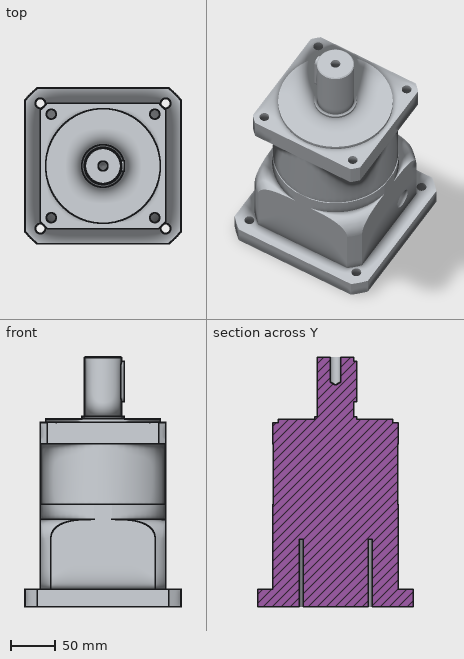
import cadquery as cq
import math

TOTAL_HEIGHT = 282.0
BASE_TOP = 20.0
SHOULDER_TOP = 98.7
RING_TOP = 115.5
FLANGE_BOTTOM = 184.0
FLANGE_TOP = 208.0
PILOT_TOP = 212.0
COLLAR_TOP = 215.0

BASE_SIDE = 176.0
BASE_CORNER_DIAMETER = 230.0
HOUSING_SIDE = 141.8
HOUSING_CORNER_DIAMETER = 184.1
FLANGE_CORNER_DIAMETER = 189.5

RING_DIAMETER = 143.3
BODY_DIAMETER = 141.3
PILOT_DIAMETER = 129.5
COLLAR_DIAMETER = 48.0
SHAFT_DIAMETER = 42.0
SHAFT_CHAMFER = 1.0

KEY_WIDTH = 12.0
KEY_LENGTH = 46.0
KEY_BOTTOM = 231.2
KEY_REACH = 24.0

BOLT_HOLE_DIAMETER = 11.0
BASE_BOLT_SPACING = 141.3
FLANGE_BOLT_SPACING = 116.7
CENTER_HOLE_DIAMETER = 11.0
CENTER_HOLE_DEPTH = 28.2
DRILL_POINT_ANGLE = 118.0
HUB_DIAMETER = 74.0
CAVITY_DIAMETER = 81.8
CAVITY_DEPTH = 76.0
ACCESS_HOLE_DIAMETER = 22.0
ACCESS_HOLE_Y = -29.0
ACCESS_HOLE_Z = 45.5


def disc(diameter, bottom, top):
    """Upright cylinder on the Z axis between two heights."""
    return cq.Workplane("XY").workplane(offset=bottom).circle(diameter / 2).extrude(top - bottom)


def rounded_square(side, corner_diameter, bottom, top):
    """Square block whose corners are turned down to a cylinder on the Z axis."""
    block = cq.Workplane("XY").workplane(offset=bottom).rect(side, side).extrude(top - bottom)
    return block.intersect(disc(corner_diameter, bottom, top))


def bolt_holes(spacing, bottom, top):
    """Four upright holes at the corners of a square."""
    return (
        cq.Workplane("XY")
        .workplane(offset=bottom)
        .rect(spacing, spacing, forConstruction=True)
        .vertices()
        .circle(BOLT_HOLE_DIAMETER / 2)
        .extrude(top - bottom)
    )


def housing():
    """Square housing whose corners curve in to a ring, leaving a flat strip up each side."""
    corner_radius = HOUSING_CORNER_DIAMETER / 2
    shoulder_radius = corner_radius - RING_DIAMETER / 2
    shoulder = disc(HOUSING_CORNER_DIAMETER, BASE_TOP, SHOULDER_TOP)
    shoulder = shoulder.faces(">Z").edges().fillet(shoulder_radius)
    turned = shoulder.union(disc(RING_DIAMETER, SHOULDER_TOP, RING_TOP))
    square = cq.Workplane("XY").rect(HOUSING_SIDE, HOUSING_SIDE).extrude(RING_TOP)
    return turned.intersect(square)


def shaft():
    """Output shaft with a chamfered tip."""
    return disc(SHAFT_DIAMETER, COLLAR_TOP, TOTAL_HEIGHT).faces(">Z").chamfer(SHAFT_CHAMFER)


def key():
    """Round-ended key let into the shaft."""
    return (
        cq.Workplane("YZ")
        .center(0, KEY_BOTTOM + KEY_LENGTH / 2)
        .slot2D(KEY_LENGTH, KEY_WIDTH, 90)
        .extrude(KEY_REACH)
    )


def center_hole():
    """Blind drilled hole with a conical end in the shaft tip."""
    radius = CENTER_HOLE_DIAMETER / 2
    cone_depth = radius / math.tan(math.radians(DRILL_POINT_ANGLE / 2))
    floor = TOTAL_HEIGHT - CENTER_HOLE_DEPTH
    profile = [(0, TOTAL_HEIGHT), (radius, TOTAL_HEIGHT), (radius, floor), (0, floor - cone_depth)]
    return cq.Workplane("XZ").polyline(profile).close().revolve(360, (0, 0), (0, 1))


def input_cavity():
    """Ring-shaped cavity, open at the mounting face, around a central hub."""
    return disc(CAVITY_DIAMETER, 0, CAVITY_DEPTH).cut(disc(HUB_DIAMETER, 0, CAVITY_DEPTH))


def access_hole():
    """Hole from the -X side of the housing into the cavity, facing the hub."""
    hole = (
        cq.Workplane("YZ")
        .center(ACCESS_HOLE_Y, ACCESS_HOLE_Z)
        .circle(ACCESS_HOLE_DIAMETER / 2)
        .extrude(-HOUSING_SIDE / 2)
    )
    return hole.cut(disc(CAVITY_DIAMETER, 0, CAVITY_DEPTH))


base = rounded_square(BASE_SIDE, BASE_CORNER_DIAMETER, 0, BASE_TOP)
base = base.cut(bolt_holes(BASE_BOLT_SPACING, 0, BASE_TOP))

flange = rounded_square(HOUSING_SIDE, FLANGE_CORNER_DIAMETER, FLANGE_BOTTOM, FLANGE_TOP)
flange = flange.cut(bolt_holes(FLANGE_BOLT_SPACING, FLANGE_BOTTOM, FLANGE_TOP))

result = (
    base.union(housing())
    .union(disc(BODY_DIAMETER, RING_TOP, FLANGE_BOTTOM))
    .union(flange)
    .union(disc(PILOT_DIAMETER, FLANGE_TOP, PILOT_TOP))
    .union(disc(COLLAR_DIAMETER, PILOT_TOP, COLLAR_TOP))
    .union(shaft())
    .union(key())
    .cut(center_hole())
    .cut(input_cavity())
    .cut(access_hole())
)